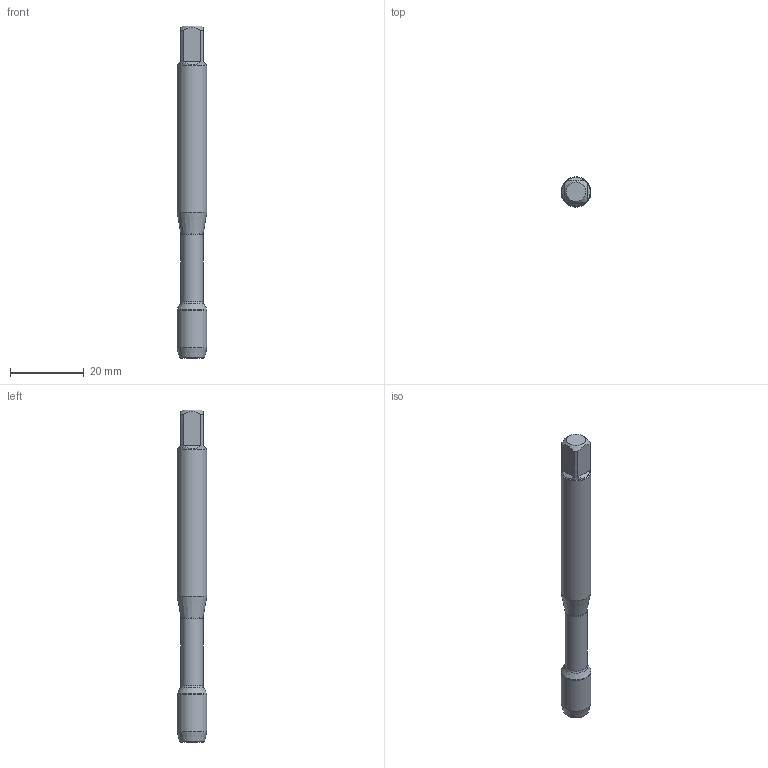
import cadquery as cq
import math

total_length = 90.1

head_diameter = 8.12
head_length = 13.0
tip_chamfer = 0.2
lead_diameter = 6.9
lead_end_z = 2.75

shank_diameter = 8.08
neck_diameter = 6.0
shoulder_angle = 30.0
shoulder_land = 0.25
neck_blend_radius = 1.2
taper_bottom_z = 33.55
taper_top_z = 39.5

square_width = 6.15
corner_diameter = 7.75
square_length = 9.7
shank_top_z = 79.3
top_face_diameter = 5.3

head_radius = head_diameter / 2
lead_radius = lead_diameter / 2
tip_radius = lead_radius - tip_chamfer
shank_radius = shank_diameter / 2
neck_radius = neck_diameter / 2
corner_radius = corner_diameter / 2
top_face_radius = top_face_diameter / 2


def make_head():
    """Plain threaded head with a tapered lead at the tip."""
    profile = [
        (0, 0),
        (tip_radius, 0),
        (lead_radius, tip_chamfer),
        (head_radius, lead_end_z),
        (head_radius, head_length),
        (0, head_length),
    ]
    return cq.Workplane("XZ").polyline(profile).close().revolve(360, (0, 0), (0, 1))


def blend_arc(cone_angle, corner_z, cone_side):
    """Neck point, middle point and cone point of the arc between the neck and a cone.

    cone_angle is measured from the axis; cone_side is 1 if the cone lies above the neck and -1 if below.
    """
    angle = math.radians(cone_angle)
    tangent_length = neck_blend_radius * math.tan(angle / 2)
    neck_end_z = corner_z - cone_side * tangent_length
    neck_point = (neck_radius, neck_end_z)
    middle_point = (
        neck_radius + neck_blend_radius * (1 - math.cos(angle / 2)),
        neck_end_z + cone_side * neck_blend_radius * math.sin(angle / 2),
    )
    cone_point = (
        neck_radius + tangent_length * math.sin(angle),
        corner_z + cone_side * tangent_length * math.cos(angle),
    )
    return neck_point, middle_point, cone_point


def make_turned_shank():
    """Shoulder, neck, taper and shank, with 45 degree edges at the upper end."""
    shoulder_bottom_z = head_length + shoulder_land
    shoulder_length = (shank_radius - neck_radius) / math.tan(math.radians(shoulder_angle))
    shoulder_top_z = shoulder_bottom_z + shoulder_length
    taper_angle = math.degrees(math.atan2(shank_radius - neck_radius, taper_top_z - taper_bottom_z))
    shank_chamfer = shank_radius - corner_radius
    top_chamfer = corner_radius - top_face_radius

    lower_neck_point, lower_middle_point, lower_cone_point = blend_arc(shoulder_angle, shoulder_top_z, -1)
    upper_neck_point, upper_middle_point, upper_cone_point = blend_arc(taper_angle, taper_bottom_z, 1)

    profile = (
        cq.Workplane("XZ")
        .moveTo(0, head_length)
        .lineTo(shank_radius, head_length)
        .lineTo(shank_radius, shoulder_bottom_z)
        .lineTo(*lower_cone_point)
        .threePointArc(lower_middle_point, lower_neck_point)
        .lineTo(*upper_neck_point)
        .threePointArc(upper_middle_point, upper_cone_point)
        .lineTo(shank_radius, taper_top_z)
        .lineTo(shank_radius, shank_top_z)
        .lineTo(corner_radius, shank_top_z + shank_chamfer)
        .lineTo(corner_radius, total_length - top_chamfer)
        .lineTo(top_face_radius, total_length)
        .lineTo(0, total_length)
        .close()
    )
    return profile.revolve(360, (0, 0), (0, 1))


def make_flat_cutter():
    """Material beside one flat of the square, with a 45 degree run-out into the shank."""
    flat_offset = square_width / 2
    flat_bottom_z = total_length - square_length
    cut_depth = shank_diameter - flat_offset
    cut_width = 2 * shank_diameter
    profile = [
        (flat_offset, total_length),
        (flat_offset, flat_bottom_z),
        (flat_offset + cut_depth, flat_bottom_z - cut_depth),
        (flat_offset + cut_depth, total_length),
    ]
    return cq.Workplane("XZ").polyline(profile).close().extrude(cut_width / 2, both=True)


def make_shank():
    """Turned shank with the four flats of the drive square."""
    body = make_turned_shank()
    flat_cutter = make_flat_cutter()
    for side in range(4):
        body = body.cut(flat_cutter.rotate((0, 0, 0), (0, 0, 1), 90 * side))
    return body


head = make_head()
shank = make_shank()

result = cq.Compound.makeCompound([head.val(), shank.val()])